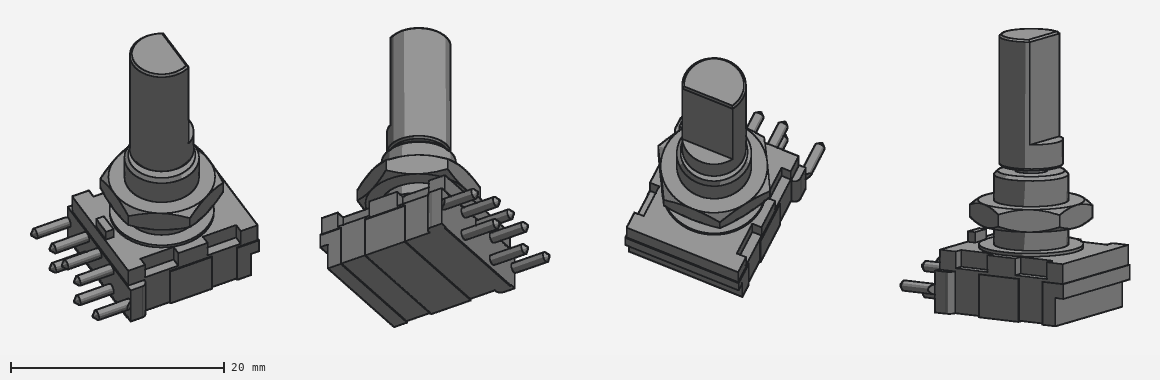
import cadquery as cq
import math


HOUSING_WIDTH = 11.5
HOUSING_FRONT_Y = -6.5
HOUSING_BACK_Y = 7.15
SKIN = 0.1
BASE_TOP_Z = 4.1
COVER_TOP_Z = 6.0
MID_PLATE_FRONT_Y = -2.1
MID_PLATE_BACK_Y = 2.3
BACK_PLATE_FRONT_Y = 4.95
BACK_STEP_Y = 6.4
BACK_STEP_Z = 2.7

NOTCH_LENGTH = 3.5
NOTCH_DEPTH = 0.95
NOTCH_FLOOR_Z = 4.4
NOTCH_FRONT_YS = (-4.72, 1.87)

TAB_WIDTH = 2.0
TAB_FRONT_Y = -6.4
TAB_THICKNESS = 0.8
TAB_TOP_Z = 7.0

EAR_REACH = 0.7
EAR_LENGTH = 1.8
EAR_BEND_RADIUS = 0.6

PIN_RADIUS = 0.5
PIN_TIP_RADIUS = 0.1
PIN_TIP_LENGTH = 0.4
PIN_END_Y = -10.5
PIN_PITCH = 2.5
PIN_MID_Z = 2.3
EAR_PIN_X = 6.3
EAR_PIN_BEVEL_LENGTH = 0.55

FLANGE_RADIUS = 4.9
FLANGE_TOP_Z = 6.3
BUSHING_RADIUS = 3.5
BUSHING_TOP_Z = 13.3
BUSHING_CHAMFER = 0.35
NUT_ACROSS_FLATS = 10.0
NUT_BOTTOM_Z = 8.35
NUT_HEIGHT = 2.15
NUT_CORNER_DROP = 0.5

NECK_RADIUS = 1.5
SHAFT_RADIUS = 3.0
SHAFT_BOTTOM_Z = 13.8
SHAFT_TOP_Z = 26.3
SHAFT_CHAMFER = 0.2
FLAT_Y = 1.5
FLAT_LENGTH = 10.0

HALF_WIDTH = HOUSING_WIDTH / 2
FRONT_Y = HOUSING_FRONT_Y - SKIN
BACK_Y = HOUSING_BACK_Y + SKIN
PLATED_WIDTH = HOUSING_WIDTH + 2 * SKIN


def block(x_range, y_range, z_range):
    """Axis-aligned box between the given limits."""
    (x0, x1), (y0, y1), (z0, z1) = x_range, y_range, z_range
    return cq.Workplane("XY").box(x1 - x0, y1 - y0, z1 - z0, centered=False).translate((x0, y0, z0))


def centred_block(width, y_range, z_range):
    """Box that is symmetric about X = 0."""
    return block((-width / 2, width / 2), y_range, z_range)


def cylinder(radius, bottom_z, top_z):
    """Cylinder on the shaft axis."""
    return cq.Workplane("XY").workplane(offset=bottom_z).circle(radius).extrude(top_z - bottom_z)


def make_base():
    """Lower housing with the front, side and back plates of its skin."""
    full_height = (0, BASE_TOP_Z)
    base = centred_block(HOUSING_WIDTH, (HOUSING_FRONT_Y, HOUSING_BACK_Y), (SKIN, BASE_TOP_Z))
    base = base.union(centred_block(HOUSING_WIDTH, (FRONT_Y, HOUSING_FRONT_Y), full_height))
    base = base.union(centred_block(PLATED_WIDTH, (MID_PLATE_FRONT_Y, MID_PLATE_BACK_Y), full_height))
    base = base.union(centred_block(PLATED_WIDTH, (BACK_PLATE_FRONT_Y, BACK_Y), full_height))
    back_step = centred_block(PLATED_WIDTH, (BACK_STEP_Y, BACK_Y), (0, BACK_STEP_Z))
    return base.cut(back_step)


def make_cover():
    """Upper housing with two notches along each long edge and the locating tab."""
    cover = centred_block(HOUSING_WIDTH, (HOUSING_FRONT_Y, HOUSING_BACK_Y), (BASE_TOP_Z, COVER_TOP_Z))
    for front_y in NOTCH_FRONT_YS:
        for x_range in ((-HALF_WIDTH, NOTCH_DEPTH - HALF_WIDTH), (HALF_WIDTH - NOTCH_DEPTH, HALF_WIDTH)):
            notch = block(x_range, (front_y, front_y + NOTCH_LENGTH), (NOTCH_FLOOR_Z, COVER_TOP_Z))
            cover = cover.cut(notch)
    tab = centred_block(TAB_WIDTH, (TAB_FRONT_Y, TAB_FRONT_Y + TAB_THICKNESS), (COVER_TOP_Z, TAB_TOP_Z))
    return cover.union(tab)


def make_pin(x, z):
    """Round pin with a tapered tip, starting on the front plate."""
    shank_length = FRONT_Y - PIN_END_Y - PIN_TIP_LENGTH
    outline = (
        cq.Workplane("XY")
        .moveTo(0, HOUSING_FRONT_Y)
        .lineTo(PIN_RADIUS, HOUSING_FRONT_Y)
        .lineTo(PIN_RADIUS, FRONT_Y - shank_length)
        .lineTo(PIN_TIP_RADIUS, PIN_END_Y)
        .lineTo(0, PIN_END_Y)
        .close()
    )
    return outline.revolve(360, (0, 0, 0), (0, 1, 0)).translate((x, 0, z))


def make_terminal_pins():
    """Upper row of three pins and lower row of two."""
    upper_z = PIN_MID_Z + PIN_PITCH / 2
    lower_z = PIN_MID_Z - PIN_PITCH / 2
    upper_row = [(x, upper_z) for x in (-PIN_PITCH, 0, PIN_PITCH)]
    lower_row = [(x, lower_z) for x in (-PIN_PITCH, PIN_PITCH)]
    pins = cq.Workplane("XY")
    for x, z in upper_row + lower_row:
        pins = pins.add(make_pin(x, z))
    return pins.combine()


def make_ear():
    """Right-hand ear with a rounded back corner and its pin, bevelled at the root."""
    ear_x = HALF_WIDTH + EAR_REACH
    ear = block((HALF_WIDTH, ear_x), (FRONT_Y, FRONT_Y + EAR_LENGTH), (SKIN, BASE_TOP_Z))
    ear = ear.edges("|Z and >X and >Y").fillet(EAR_BEND_RADIUS)
    pin_outer_x = EAR_PIN_X + PIN_RADIUS
    bevel = (
        cq.Workplane("XY")
        .moveTo(ear_x, HOUSING_FRONT_Y)
        .lineTo(ear_x, FRONT_Y)
        .lineTo(pin_outer_x, FRONT_Y - EAR_PIN_BEVEL_LENGTH)
        .lineTo(pin_outer_x, HOUSING_FRONT_Y)
        .close()
        .extrude(BASE_TOP_Z)
    )
    return ear.union(make_pin(EAR_PIN_X, PIN_MID_Z).cut(bevel))


def make_nut():
    """Hexagonal nut with corners on the X axis and cone-trimmed corners on both faces."""
    inner_radius = NUT_ACROSS_FLATS / 2
    corner_radius = inner_radius / math.cos(math.radians(30))
    hexagon = cq.Workplane("XY").polygon(6, 2 * corner_radius).extrude(NUT_HEIGHT)
    envelope = (
        cq.Workplane("XZ")
        .moveTo(0, 0)
        .lineTo(inner_radius, 0)
        .lineTo(corner_radius, NUT_CORNER_DROP)
        .lineTo(corner_radius, NUT_HEIGHT - NUT_CORNER_DROP)
        .lineTo(inner_radius, NUT_HEIGHT)
        .lineTo(0, NUT_HEIGHT)
        .close()
        .revolve(360, (0, 0, 0), (0, 1, 0))
    )
    return hexagon.intersect(envelope).translate((0, 0, NUT_BOTTOM_Z))


def make_bushing():
    """Flange and bushing standing on the cover."""
    flange = cylinder(FLANGE_RADIUS, COVER_TOP_Z, FLANGE_TOP_Z)
    barrel = cylinder(BUSHING_RADIUS, COVER_TOP_Z, BUSHING_TOP_Z)
    return flange.union(barrel.faces(">Z").chamfer(BUSHING_CHAMFER))


def make_shaft():
    """D-shaped shaft on a thinner neck, chamfered at both ends."""
    shaft = cylinder(SHAFT_RADIUS, SHAFT_BOTTOM_Z, SHAFT_TOP_Z)
    flat_cut = centred_block(
        2 * SHAFT_RADIUS, (FLAT_Y, SHAFT_RADIUS), (SHAFT_TOP_Z - FLAT_LENGTH, SHAFT_TOP_Z)
    )
    shaft = shaft.cut(flat_cut)
    shaft = shaft.faces("<Z").chamfer(SHAFT_CHAMFER)
    shaft = shaft.faces(">Z").chamfer(SHAFT_CHAMFER)
    return shaft.union(cylinder(NECK_RADIUS, BUSHING_TOP_Z, SHAFT_BOTTOM_Z))


right_ear = make_ear()
left_ear = right_ear.mirror("YZ")

result = make_base().union(make_cover())
for feature in (make_terminal_pins(), right_ear, left_ear, make_bushing(), make_nut(), make_shaft()):
    result = result.union(feature)